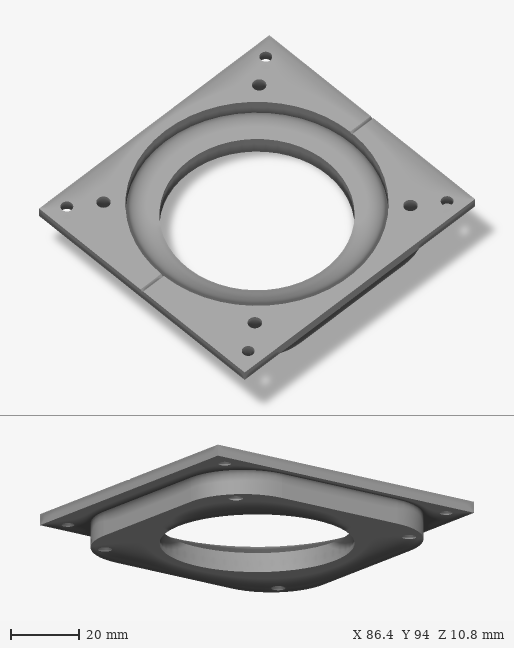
import cadquery as cq

plate_width = 86.4
plate_length = 94.0
plate_thickness = 3.4

total_height = 10.8
body_side = 80.4
body_corner_radius = 19.0

recess_diameter = 77.1
recess_depth = 5.0
bore_diameter = 57.1

outer_holes = (3.8, 76.1, 81.2)
inner_holes = (4.2, 63.5, 63.5)

groove_width = 1.1
groove_depth = 0.6


def make_plate():
    return (
        cq.Workplane("XY")
        .workplane(offset=total_height - plate_thickness)
        .rect(plate_width, plate_length)
        .extrude(plate_thickness)
    )


def make_body():
    return (
        cq.Workplane("XY")
        .rect(body_side, body_side)
        .extrude(total_height - plate_thickness)
        .edges("|Z")
        .fillet(body_corner_radius)
    )


def cut_opening(part):
    return (
        part.faces(">Z")
        .workplane(origin=(0, 0, total_height))
        .cboreHole(bore_diameter, recess_diameter, recess_depth)
    )


def cut_corner_holes(part, diameter, spacing_x, spacing_y):
    cutters = (
        cq.Workplane("XY")
        .rect(spacing_x, spacing_y, forConstruction=True)
        .vertices()
        .circle(diameter / 2)
        .extrude(total_height)
    )
    return part.cut(cutters)


def cut_groove(part):
    cutter = (
        cq.Workplane("XZ")
        .moveTo(-groove_width / 2, total_height)
        .lineTo(groove_width / 2, total_height)
        .lineTo(0, total_height - groove_depth)
        .close()
        .extrude(plate_length / 2, both=True)
    )
    return part.cut(cutter)


result = make_plate().union(make_body())
result = cut_opening(result)
for diameter, spacing_x, spacing_y in (outer_holes, inner_holes):
    result = cut_corner_holes(result, diameter, spacing_x, spacing_y)
result = cut_groove(result)